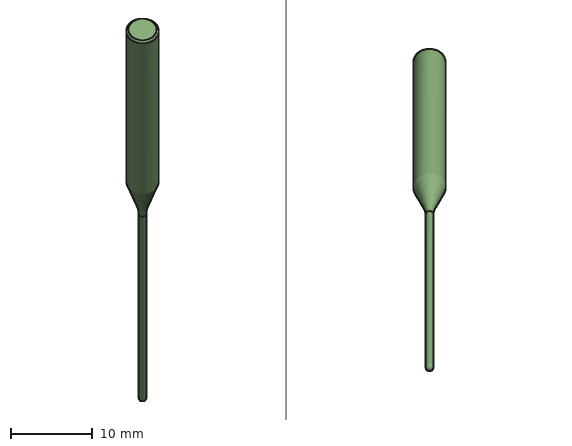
import cadquery as cq
import math

total_length = 70.0
shank_radius = 2.0
shank_chamfer = 0.3

rod_radius = 0.5
rod_length = 35.2

taper_half_angle = math.radians(16.0)
blend_radius = 5.95


def blend_point(angle):
    """Radius and height on the blend arc, where its tangent leans by this angle from the axis."""
    radius = rod_radius + blend_radius * (1 - math.cos(angle))
    height = rod_length + blend_radius * math.sin(angle)
    return radius, height


def revolve_about_axis(profile):
    """Turn a closed radius-height outline into a round solid about Z."""
    return profile.revolve(360, (0, 0, 0), (0, 1, 0))


def make_shank():
    """Chamfered shank with its taper and blend, ending flat on the rod."""
    blend_middle = blend_point(taper_half_angle / 2)
    cone_radius, cone_bottom = blend_point(taper_half_angle)
    cone_top = cone_bottom + (shank_radius - cone_radius) / math.tan(taper_half_angle)
    profile = (
        cq.Workplane("XZ")
        .moveTo(0, rod_length)
        .lineTo(rod_radius, rod_length)
        .threePointArc(blend_middle, (cone_radius, cone_bottom))
        .lineTo(shank_radius, cone_top)
        .lineTo(shank_radius, total_length - shank_chamfer)
        .lineTo(shank_radius - shank_chamfer, total_length)
        .lineTo(0, total_length)
        .close()
    )
    return revolve_about_axis(profile)


def make_rod():
    """Slender cylinder with a hemispherical tip."""
    arc_offset = rod_radius * math.sqrt(0.5)
    profile = (
        cq.Workplane("XZ")
        .moveTo(0, 0)
        .threePointArc((arc_offset, rod_radius - arc_offset), (rod_radius, rod_radius))
        .lineTo(rod_radius, rod_length)
        .lineTo(0, rod_length)
        .close()
    )
    return revolve_about_axis(profile)


shank = make_shank()
rod = make_rod()

result = cq.Compound.makeCompound([shank.val(), rod.val()])